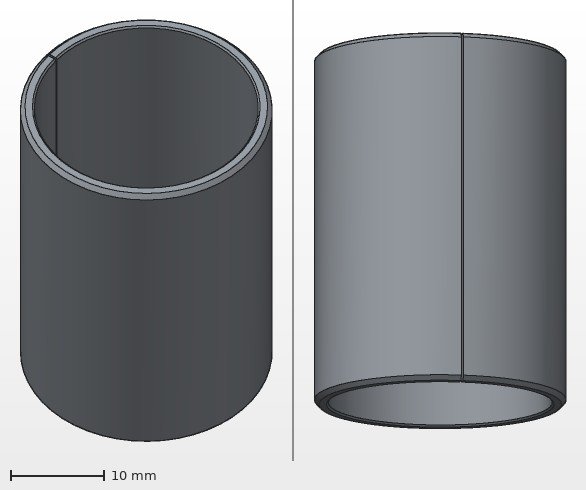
import cadquery as cq

outer_diameter = 27.0
bore_diameter = 24.0
length = 38.0
outer_chamfer = 0.5
bore_chamfer = 0.2
slit_angle = 1.0

outer_radius = outer_diameter / 2
bore_radius = bore_diameter / 2


def make_wall_section():
    """Section of the wall on the -X side, with all four corners bevelled."""
    return (
        cq.Workplane("XZ")
        .moveTo(-outer_radius, outer_chamfer)
        .lineTo(-outer_radius, length - outer_chamfer)
        .lineTo(-outer_radius + outer_chamfer, length)
        .lineTo(-bore_radius - bore_chamfer, length)
        .lineTo(-bore_radius, length - bore_chamfer)
        .lineTo(-bore_radius, bore_chamfer)
        .lineTo(-bore_radius - bore_chamfer, 0)
        .lineTo(-outer_radius + outer_chamfer, 0)
        .close()
    )


def make_split_bushing():
    """Revolve the wall about Z, stopping short of a full turn to leave the slit."""
    axis_start = (0, 0, 0)
    axis_end = (0, 1, 0)
    return make_wall_section().revolve(360 - slit_angle, axis_start, axis_end)


result = make_split_bushing()